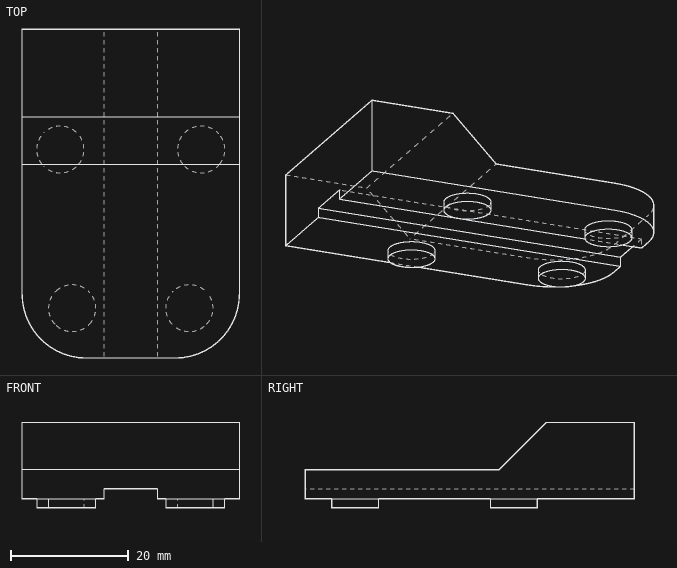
import cadquery as cq

WIDTH = 37.0
LENGTH = 56.0
PLATE_THICKNESS = 5.0
CORNER_RADIUS = 11.0

BLOCK_RISE = 8.0
BLOCK_TOP_LENGTH = 15.0
RAMP_RUN = BLOCK_RISE

CHANNEL_WIDTH = 9.0
CHANNEL_DEPTH = 1.7

FOOT_DIAMETER = 8.0
FOOT_HEIGHT = 1.5
FRONT_FOOT_X = 9.95
FRONT_FOOT_Y = 8.5
FOOT_PAIR_SPACING = 27.0
REAR_FOOT_X = 12.0
REAR_FOOT_Y = FRONT_FOOT_Y + FOOT_PAIR_SPACING


def make_foot(x, y):
    """Disc hanging from the underside of the plate."""
    return cq.Workplane("XY").center(x, y).circle(FOOT_DIAMETER / 2).extrude(-FOOT_HEIGHT)


def make_stepped_plate():
    """Side profile extruded across the width, with rounded front corners."""
    block_top = PLATE_THICKNESS + BLOCK_RISE
    ramp_top_y = LENGTH - BLOCK_TOP_LENGTH
    profile = [
        (0, 0),
        (LENGTH, 0),
        (LENGTH, block_top),
        (ramp_top_y, block_top),
        (ramp_top_y - RAMP_RUN, PLATE_THICKNESS),
        (0, PLATE_THICKNESS),
    ]
    plate = cq.Workplane("YZ").polyline(profile).close().extrude(WIDTH / 2, both=True)
    return plate.faces("<Y").edges("|Z").fillet(CORNER_RADIUS)


def make_channel():
    """Cutter for the channel that runs the full length of the underside."""
    return cq.Workplane("XY").box(CHANNEL_WIDTH, LENGTH, CHANNEL_DEPTH, centered=(True, False, False))


def make_body():
    """Stepped plate with its channel and its rear pair of feet."""
    body = make_stepped_plate().cut(make_channel())
    for side in (-1, 1):
        body = body.union(make_foot(side * REAR_FOOT_X, REAR_FOOT_Y))
    return body


body = make_body()

front_feet = []
for side in (-1, 1):
    foot = make_foot(side * FRONT_FOOT_X, FRONT_FOOT_Y)
    front_feet.append(foot.val())

result = cq.Compound.makeCompound([body.val(), *front_feet])